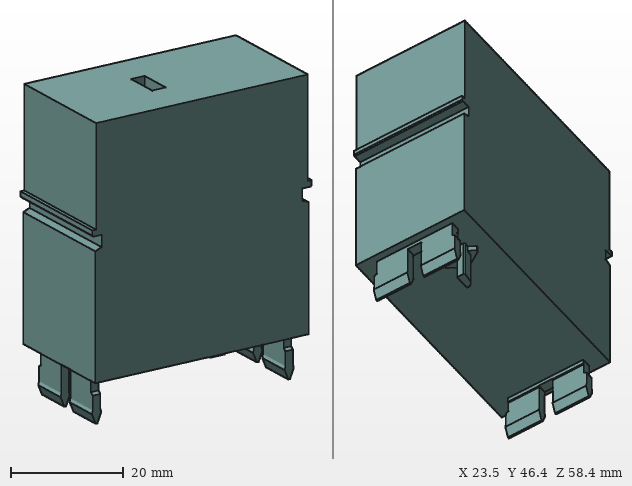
import cadquery as cq

total_height = 58.4
body_width = 23.5
overall_depth = 46.4
body_height = 49.35
pin_length = total_height - body_height

upper_half_depth = 22.4
lower_half_depth = 22.6
flange_half_depth = overall_depth / 2
groove_half_depth = 21.25

shoulder_outer_z = 25.05
shoulder_inner_z = 25.6
flange_bottom_z = 27.9
flange_top_z = 29.15
flange_chamfer = 0.25

slot_length = 6.9
slot_width = 2.85
slot_center_y = -3.75
slot_depth = 3.5

pin_center_y = 20.4
pin_half_thickness = 0.8
pin_root_inner_extra = 0.25
pin_root_length = 1.0
barb_half_thickness = 1.0
barb_start_z = -6.35
barb_full_z = -7.05
tip_half_thickness = 0.2
plate_half_width = 8.75
neck_half_width = 8.2
neck_end_z = -3.1
neck_chamfer_z = -3.55
fork_gap = 2.9
fork_top_z = -0.9

collar_center_x = -5.0
collar_center_y = 13.95
collar_half_x = 3.5
collar_half_y = 2.35
collar_flat = 0.4
collar_height = 1.1
post_left_x = -7.25
post_width = 1.65
post_back_y = 16.05
post_front_y = 12.95
post_height = 8.0
post_face_taper = 0.25
post_edge_bevel = 0.25
post_corner_run = 0.95
post_corner_radius = 1.3


def make_housing():
    """Constant side profile, symmetric about Y = 0, extruded across the width."""
    right_side = [
        (lower_half_depth, 0),
        (lower_half_depth, shoulder_outer_z),
        (groove_half_depth, shoulder_inner_z),
        (groove_half_depth, flange_bottom_z),
        (flange_half_depth - flange_chamfer, flange_bottom_z),
        (flange_half_depth, flange_bottom_z + flange_chamfer),
        (flange_half_depth, flange_top_z),
        (upper_half_depth, flange_top_z),
        (upper_half_depth, body_height),
    ]
    left_side = [(-y, z) for y, z in reversed(right_side)]
    housing = (
        cq.Workplane("YZ").polyline(right_side + left_side).close().extrude(body_width / 2, both=True)
    )
    slot = cq.Workplane("XY").box(slot_length, slot_width, slot_depth, centered=(True, True, False))
    return housing.cut(slot.translate((0, slot_center_y, body_height - slot_depth)))


def make_forked_pin():
    """Contact plate at the +Y end, barbed and pointed at its lower edge."""
    inner = pin_center_y - pin_half_thickness
    outer = pin_center_y + pin_half_thickness
    side_profile = [
        (outer, 0),
        (outer, barb_start_z),
        (pin_center_y + barb_half_thickness, barb_full_z),
        (pin_center_y + tip_half_thickness, -pin_length),
        (pin_center_y - tip_half_thickness, -pin_length),
        (pin_center_y - barb_half_thickness, barb_full_z),
        (inner, barb_start_z),
        (inner, -pin_root_length),
        (inner - pin_root_inner_extra, -pin_root_length),
        (inner - pin_root_inner_extra, 0),
    ]
    plate = cq.Workplane("YZ").polyline(side_profile).close().extrude(plate_half_width, both=True)

    half_gap = fork_gap / 2
    right_edge = [
        (half_gap, fork_top_z),
        (half_gap, -pin_length),
        (plate_half_width, -pin_length),
        (plate_half_width, neck_chamfer_z),
        (neck_half_width, neck_end_z),
        (neck_half_width, 0),
    ]
    left_edge = [(-x, z) for x, z in reversed(right_edge)]
    outline = (
        cq.Workplane("XZ").polyline(right_edge + left_edge).close().extrude(body_height, both=True)
    )
    return plate.intersect(outline)


def make_post():
    """Post with one rounded edge, below a collar shaped as a truncated diamond."""
    half_flat = collar_flat / 2
    collar_points = [
        (-collar_half_x, -half_flat),
        (0, -collar_half_y),
        (collar_half_x, -half_flat),
        (collar_half_x, half_flat),
        (0, collar_half_y),
        (-collar_half_x, half_flat),
    ]
    collar = (
        cq.Workplane("XY").center(collar_center_x, collar_center_y)
        .polyline(collar_points).close().extrude(-collar_height)
    )
    post_right_x = post_left_x + post_width
    face_end_x = post_left_x + post_face_taper
    post = (
        cq.Workplane("XY")
        .moveTo(post_left_x, post_back_y - post_edge_bevel)
        .lineTo(face_end_x, post_front_y + post_corner_run)
        .radiusArc((face_end_x + post_corner_run, post_front_y), -post_corner_radius)
        .lineTo(post_right_x, post_front_y)
        .lineTo(post_right_x, post_back_y)
        .lineTo(post_left_x + post_edge_bevel, post_back_y)
        .close()
        .extrude(-post_height)
    )
    return collar.union(post)


back_pin = make_forked_pin()
front_pin = back_pin.mirror("XZ")
result = make_housing().union(back_pin).union(front_pin).union(make_post())